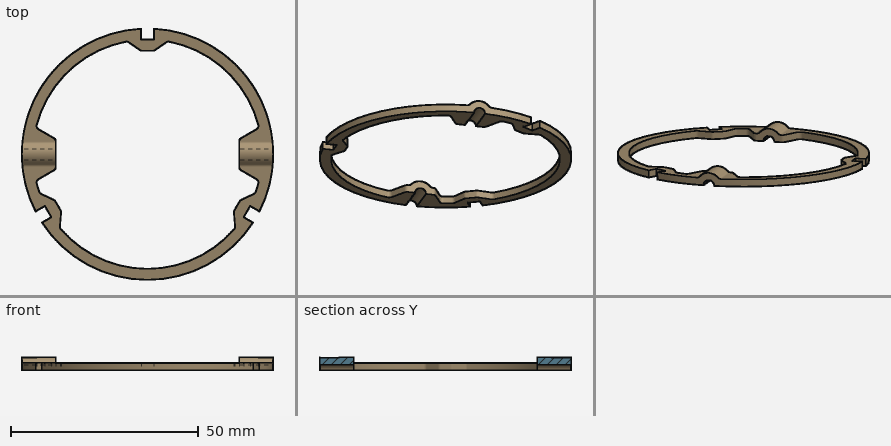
import cadquery as cq
import math

OUTER_RADIUS = 33.5
INNER_RADIUS = 30.5
THICKNESS = 2.0
MID_RADIUS = (OUTER_RADIUS + INNER_RADIUS) / 2

SLOT_ANGLES = (90, 210, 330)
SLOT_WIDTH = 3.4
SLOT_FLOOR_RADIUS = 30.6
SLOT_OVERCUT = 1.0
TAB_TIP_RADIUS = 27.5
TAB_TIP_HALF_WIDTH = SLOT_WIDTH / 2
TAB_ROOT_HALF_WIDTH = 5.35
TAB_TIP_FILLET = 1.0
TAB_ROOT_FILLET = 1.0

PAD_ANGLES = (0, 180)
PAD_TIP_RADIUS = 24.4
PAD_TIP_HALF_WIDTH = 4.0
PAD_FLANK_ANGLE = 30.0
PAD_TIP_FILLET = 1.0
PAD_ROOT_FILLET = 1.0

RIDGE_RADIUS = 3.5
RIDGE_FILLET = 1.0
GROOVE_RADIUS = 1.5


def about_axis(shape, angle):
    """Turn a shape around the ring axis."""
    return shape.rotate((0, 0, 0), (0, 0, 1), angle)


def make_ring():
    return cq.Workplane("XY").circle(OUTER_RADIUS).circle(INNER_RADIUS).extrude(THICKNESS)


def tab_corners():
    """Tip and root corners of a tab on +X, on its +Y side; the root lies on the bore."""
    root_x = math.sqrt(INNER_RADIUS**2 - TAB_ROOT_HALF_WIDTH**2)
    return (TAB_TIP_RADIUS, TAB_TIP_HALF_WIDTH), (root_x, TAB_ROOT_HALF_WIDTH)


def pad_corners():
    """Tip and root corners of a pad on +X, on its +Y side; the root lies on the bore."""
    slope = math.tan(math.radians(PAD_FLANK_ANGLE))
    offset = PAD_TIP_HALF_WIDTH - slope * PAD_TIP_RADIUS
    a = 1 + slope**2
    half_b = slope * offset
    c = offset**2 - INNER_RADIUS**2
    root_x = (-half_b + math.sqrt(half_b**2 - a * c)) / a
    return (PAD_TIP_RADIUS, PAD_TIP_HALF_WIDTH), (root_x, offset + slope * root_x)


def make_lug(tip, root):
    """Inward trapezoid on +X, symmetric about X, whose outer side is an arc inside the rim."""
    return (
        cq.Workplane("XY")
        .moveTo(tip[0], -tip[1])
        .lineTo(root[0], -root[1])
        .threePointArc((MID_RADIUS, 0), root)
        .lineTo(*tip)
        .close()
        .extrude(THICKNESS)
    )


def fillet_corner_pair(body, corner, angle, radius):
    """Round the two upright edges at a corner and its mirror image, turned to the given angle."""
    distance = math.hypot(*corner)
    half_spread = math.atan2(corner[1], corner[0])
    for side in (-1, 1):
        direction = math.radians(angle) + side * half_spread
        point = (distance * math.cos(direction), distance * math.sin(direction), THICKNESS / 2)
        body = body.edges("|Z").edges(cq.selectors.NearestToPointSelector(point)).fillet(radius)
    return body


def add_lugs(body, angles, corners, tip_fillet, root_fillet):
    """Join a rounded lug to the bore at each angle."""
    tip, root = corners
    for angle in angles:
        body = body.union(about_axis(make_lug(tip, root), angle))
        body = fillet_corner_pair(body, root, angle, root_fillet)
        body = fillet_corner_pair(body, tip, angle, tip_fillet)
    return body


def make_slot():
    """Cutter on +X that opens the rim outward from the slot floor."""
    length = OUTER_RADIUS - SLOT_FLOOR_RADIUS + SLOT_OVERCUT
    return (
        cq.Workplane("XY", origin=(SLOT_FLOOR_RADIUS, 0, 0))
        .box(length, SLOT_WIDTH, THICKNESS, centered=(False, True, False))
    )


def make_ridge():
    """Ridge on +X: a round crest with a fillet down to the ring top, trimmed to the ring's outside."""
    fillet_center_z = THICKNESS + RIDGE_FILLET
    center_distance = RIDGE_RADIUS + RIDGE_FILLET
    foot_y = math.sqrt(center_distance**2 - fillet_center_z**2)
    tangent_y = foot_y * RIDGE_RADIUS / center_distance
    tangent_z = fillet_center_z * RIDGE_RADIUS / center_distance
    half_sweep = math.atan2(foot_y, fillet_center_z) / 2
    mid_y = foot_y - RIDGE_FILLET * math.sin(half_sweep)
    mid_z = fillet_center_z - RIDGE_FILLET * math.cos(half_sweep)
    ridge = (
        cq.Workplane("YZ", origin=(PAD_TIP_RADIUS, 0, 0))
        .moveTo(-foot_y, 0)
        .lineTo(-foot_y, THICKNESS)
        .threePointArc((-mid_y, mid_z), (-tangent_y, tangent_z))
        .threePointArc((0, RIDGE_RADIUS), (tangent_y, tangent_z))
        .threePointArc((mid_y, mid_z), (foot_y, THICKNESS))
        .lineTo(foot_y, 0)
        .close()
        .extrude(OUTER_RADIUS - PAD_TIP_RADIUS)
    )
    ring_envelope = cq.Workplane("XY").circle(OUTER_RADIUS).extrude(RIDGE_RADIUS)
    return ridge.intersect(ring_envelope)


def make_groove():
    """Round cutter along X that hollows the underside of both ridges."""
    return cq.Workplane("YZ").circle(GROOVE_RADIUS).extrude(OUTER_RADIUS, both=True)


body = make_ring()
body = add_lugs(body, PAD_ANGLES, pad_corners(), PAD_TIP_FILLET, PAD_ROOT_FILLET)
body = add_lugs(body, SLOT_ANGLES, tab_corners(), TAB_TIP_FILLET, TAB_ROOT_FILLET)

for angle in SLOT_ANGLES:
    body = body.cut(about_axis(make_slot(), angle))

for angle in PAD_ANGLES:
    body = body.union(about_axis(make_ridge(), angle))

result = body.cut(make_groove())